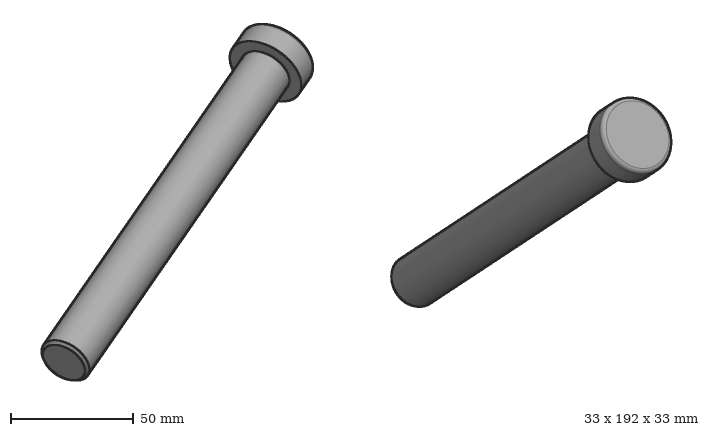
import cadquery as cq

total_length = 192.0
head_diameter = 33.0
head_thickness = 12.0
head_edge_radius = 2.0
shank_diameter = 22.0
tip_chamfer = 1.3

shank_length = total_length - head_thickness
head_radius = head_diameter / 2
shank_radius = shank_diameter / 2
head_end = total_length / 2
tip_end = -total_length / 2
head_underside = tip_end + shank_length

profile = (
    cq.Workplane("XY")
    .moveTo(0, tip_end)
    .lineTo(shank_radius - tip_chamfer, tip_end)
    .lineTo(shank_radius, tip_end + tip_chamfer)
    .lineTo(shank_radius, head_underside)
    .lineTo(head_radius, head_underside)
    .lineTo(head_radius, head_end - head_edge_radius)
    .radiusArc((head_radius - head_edge_radius, head_end), -head_edge_radius)
    .lineTo(0, head_end)
    .close()
)

result = profile.revolve(360, (0, 0, 0), (0, 1, 0))